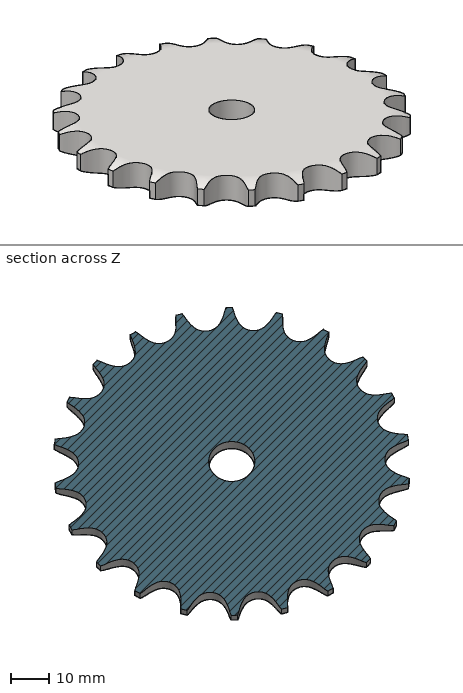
import cadquery as cq
import math

tooth_count = 22
outer_diameter = 93.8
root_diameter = 80.6
thickness = 7.2
bore_diameter = 12.0
roller_diameter = 8.5
seat_diameter = 8.6

face_diameter = 82.2
bevel_depth = 1.2

half_pitch_angle = 180 / tooth_count
seat_angle = 35 + 60 / tooth_count
working_angle = 18 - 56 / tooth_count
working_offset = 0.8 * roller_diameter
tip_offset = 1.4 * roller_diameter
seat_radius = seat_diameter / 2
working_radius = seat_radius + working_offset
pitch_radius = root_diameter / 2 + seat_radius


def step(start, distance, angle):
    """Point at a distance from start, in a direction given in degrees."""
    direction = math.radians(angle)
    return (start[0] + distance * math.cos(direction), start[1] + distance * math.sin(direction))


def rotate(point, angle):
    """Point turned counterclockwise about the origin by an angle in degrees."""
    turn = math.radians(angle)
    x, y = point
    return (
        x * math.cos(turn) - y * math.sin(turn),
        x * math.sin(turn) + y * math.cos(turn),
    )


def mirror(point):
    """Point reflected across the Y axis."""
    return (-point[0], point[1])


def right_flank():
    """Flank of the gap centred on +Y, from the seat end out to the pointed tooth tip."""
    seat_center = (0, pitch_radius)
    working_center = step(seat_center, working_offset, 180 - seat_angle)
    flank_normal = working_angle - seat_angle
    seat_end = step(seat_center, seat_radius, -seat_angle)
    working_middle = step(working_center, working_radius, flank_normal - working_angle / 2)
    line_start = step(working_center, working_radius, flank_normal)

    tip_center = step(seat_center, tip_offset, -half_pitch_angle)
    normal = math.radians(flank_normal)
    tip_radius = (
        (tip_center[0] - line_start[0]) * math.cos(normal)
        + (tip_center[1] - line_start[1]) * math.sin(normal)
    )
    line_end = step(tip_center, tip_radius, 180 + flank_normal)

    center_across, center_along = rotate(tip_center, half_pitch_angle)
    tip_height = center_along + math.sqrt(tip_radius**2 - center_across**2)
    tooth_point = rotate((0, tip_height), -half_pitch_angle)
    end_angle = math.degrees(
        math.atan2(tooth_point[1] - tip_center[1], tooth_point[0] - tip_center[0])
    )
    tip_middle = step(tip_center, tip_radius, (180 + flank_normal + end_angle) / 2)
    return seat_end, working_middle, line_start, line_end, tip_middle, tooth_point


def add_gap(outline, turn):
    """Extend the outline clockwise through one tooth gap, turned from +Y by an angle in degrees."""
    flank = right_flank()
    right = [rotate(point, turn) for point in flank]
    left = [rotate(mirror(point), turn) for point in flank]
    seat_bottom = rotate((0, root_diameter / 2), turn)
    right_seat_end, right_working, right_line_start, right_line_end, right_tip, right_point = right
    left_seat_end, left_working, left_line_start, left_line_end, left_tip, _ = left
    return (
        outline.threePointArc(left_tip, left_line_end)
        .lineTo(*left_line_start)
        .threePointArc(left_working, left_seat_end)
        .threePointArc(seat_bottom, right_seat_end)
        .threePointArc(right_working, right_line_start)
        .lineTo(*right_line_end)
        .threePointArc(right_tip, right_point)
    )


def toothed_disc():
    """Solid disc whose teeth still run out to sharp points."""
    first_point = mirror(right_flank()[-1])
    outline = cq.Workplane("XY").workplane(offset=-thickness / 2).moveTo(*first_point)
    for gap in range(tooth_count):
        outline = add_gap(outline, -2 * half_pitch_angle * gap)
    return outline.close().extrude(thickness)


def bevelled_blank():
    """Bored disc whose rim falls away in an arc tangent to each face."""
    bore_radius = bore_diameter / 2
    face_radius = face_diameter / 2
    outer_radius = outer_diameter / 2
    half_thickness = thickness / 2
    rim_half_width = half_thickness - bevel_depth
    bevel_width = outer_radius - face_radius
    bevel_radius = (bevel_width**2 + bevel_depth**2) / (2 * bevel_depth)
    half_sweep = math.degrees(math.asin(bevel_width / bevel_radius)) / 2
    arc_center = (face_radius, half_thickness - bevel_radius)
    middle_radius, middle_height = step(arc_center, bevel_radius, 90 - half_sweep)
    return (
        cq.Workplane("XZ")
        .moveTo(bore_radius, -half_thickness)
        .lineTo(face_radius, -half_thickness)
        .threePointArc((middle_radius, -middle_height), (outer_radius, -rim_half_width))
        .lineTo(outer_radius, rim_half_width)
        .threePointArc((middle_radius, middle_height), (face_radius, half_thickness))
        .lineTo(bore_radius, half_thickness)
        .close()
        .revolve(360, (0, 0, 0), (0, 1, 0))
    )


result = bevelled_blank().intersect(toothed_disc())